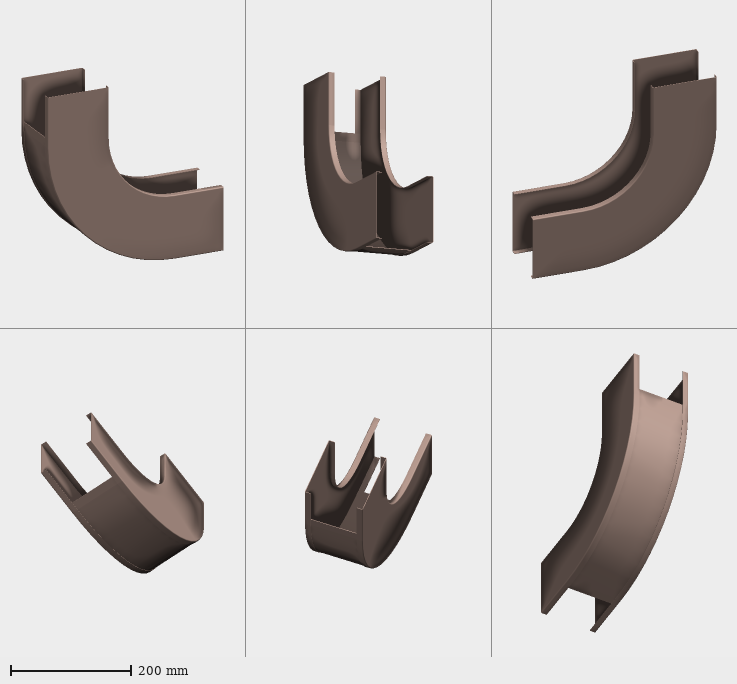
import cadquery as cq
import math

overall_size = 323.8
channel_width = 103.0
channel_depth = 113.0
leg_length = 90.0
flange_width = 10.7
metal_thickness = 1.0
corner_radius = 2.0
floor_overlap = 15.2

outer_radius = overall_size - leg_length
inner_radius = outer_radius - channel_depth
half_width = channel_width / 2


def elbow_path(radius, straight_length):
    """Vertical line, quarter bend and horizontal line in the YZ plane."""
    arc_middle = -radius * math.sqrt(0.5)
    return (
        cq.Workplane("YZ")
        .moveTo(-radius, straight_length)
        .lineTo(-radius, 0)
        .threePointArc((arc_middle, arc_middle), (0, -radius))
        .lineTo(straight_length, -radius)
    )


def make_side_rail(side):
    """C-shaped rail on the -X side (side = -1) or the +X side (side = 1)."""
    web_outside = side * half_width
    web_inside = side * (half_width - metal_thickness)
    corner_start = side * (half_width - corner_radius)
    flange_tip = side * (half_width - flange_width)
    arc_inset = corner_radius * (1 - math.sqrt(0.5))
    arc_middle_x = side * (half_width - arc_inset)
    profile = (
        cq.Workplane("XY", origin=(0, 0, leg_length))
        .moveTo(flange_tip, -outer_radius)
        .lineTo(corner_start, -outer_radius)
        .threePointArc(
            (arc_middle_x, -outer_radius + arc_inset),
            (web_outside, -outer_radius + corner_radius),
        )
        .lineTo(web_outside, -inner_radius - corner_radius)
        .threePointArc(
            (arc_middle_x, -inner_radius - arc_inset),
            (corner_start, -inner_radius),
        )
        .lineTo(flange_tip, -inner_radius)
        .lineTo(flange_tip, -inner_radius - metal_thickness)
        .lineTo(web_inside, -inner_radius - metal_thickness)
        .lineTo(web_inside, -outer_radius + metal_thickness)
        .lineTo(flange_tip, -outer_radius + metal_thickness)
        .close()
    )
    return profile.sweep(elbow_path(outer_radius, leg_length))


def make_floor_plate():
    """Curved plate between the rail webs, resting on the outer flanges."""
    plate_outer_radius = outer_radius - metal_thickness
    plate_width = channel_width - 2 * metal_thickness
    profile = (
        cq.Workplane("XY", origin=(0, 0, floor_overlap))
        .center(0, -plate_outer_radius + metal_thickness / 2)
        .rect(plate_width, metal_thickness)
    )
    return profile.sweep(elbow_path(plate_outer_radius, floor_overlap))


side_rails = [make_side_rail(side).val() for side in (-1, 1)]
floor_plate = make_floor_plate()

result = cq.Compound.makeCompound([*side_rails, floor_plate.val()])